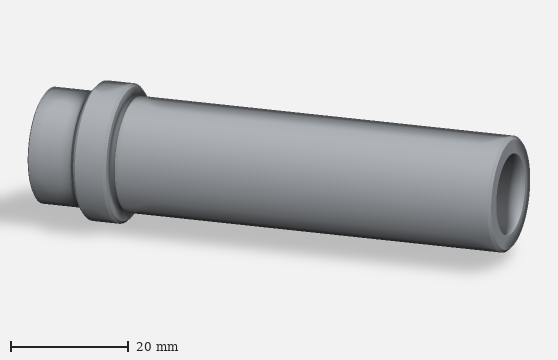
import cadquery as cq

length = 84.0
body_diameter = 20.0
bore_diameter = 14.0

collar_diameter = 24.0
collar_start = 9.0
collar_width = 6.0
collar_end = collar_start + collar_width
collar_chamfer = 0.5

groove_width = 1.0
groove_radius = groove_width / 2

near_chamfer_length = 0.3
far_chamfer_length = 0.5
end_chamfer_depth = 0.5


def cylinder(diameter, start, width):
    """Solid cylinder along X."""
    return cq.Workplane("YZ", origin=(start, 0, 0)).circle(diameter / 2).extrude(width)


def make_body():
    """Revolve the sleeve blank with its end chamfers and relief grooves."""
    radius = body_diameter / 2
    end_radius = radius - end_chamfer_depth
    groove_floor = radius - groove_radius
    near_groove_start = collar_start - groove_width
    far_groove_end = collar_end + groove_width
    return (
        cq.Workplane("XY")
        .lineTo(0, end_radius)
        .lineTo(near_chamfer_length, radius)
        .lineTo(near_groove_start, radius)
        .threePointArc((collar_start - groove_radius, groove_floor), (collar_start, radius))
        .lineTo(collar_end, radius)
        .threePointArc((collar_end + groove_radius, groove_floor), (far_groove_end, radius))
        .lineTo(length - far_chamfer_length, radius)
        .lineTo(length, end_radius)
        .lineTo(length, 0)
        .close()
        .revolve(360, (0, 0, 0), (1, 0, 0))
    )


def make_collar():
    """Collar with both outer edges chamfered."""
    return cylinder(collar_diameter, collar_start, collar_width).edges("%CIRCLE").chamfer(collar_chamfer)


bore = cylinder(bore_diameter, 0, length)
result = make_body().union(make_collar()).cut(bore)